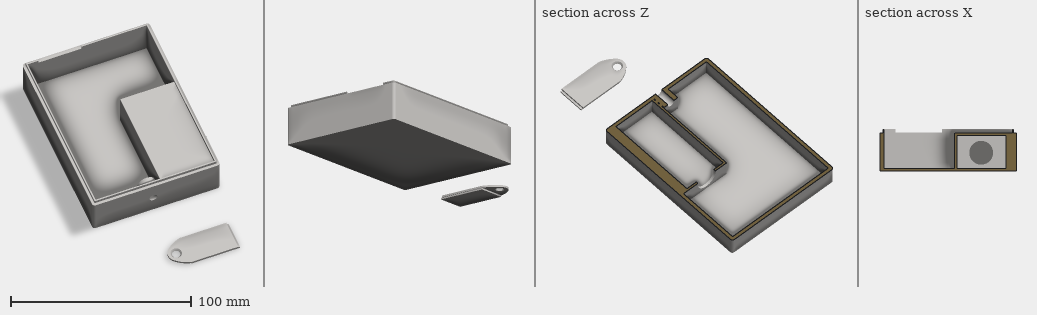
import cadquery as cq

case_length = 105.1
case_width = 76.0
wall = 2.4
floor_thickness = 1.6
total_height = 23.1
lip_height = 1.8
rim_height = total_height - lip_height
corner_radius = 1.6
lip_thickness = wall / 3
lip_inset = wall - lip_thickness
inner_length = case_length - 2 * wall
inner_width = case_width - 2 * wall
inner_right = inner_length / 2
inner_back = inner_width / 2

lip_gap_front = -29.0
lip_gap_back = -3.2

compartment_length = 60.0
compartment_width = 32.2
compartment_top = rim_height
compartment_wall = 1.6
window_diameter = 13.2
window_from_front = 15.0
window_height = 10.0
compartment_left = inner_right - compartment_length
compartment_front = inner_back - compartment_width
bay_width = 2 * (window_from_front - compartment_wall)

post_length = 8.0
post_width = 10.7
post_hole_diameter = 4.6
post_axis_height = 10.9
post_axis_y = compartment_front - post_width / 2

door_total_thickness = 2.0
door_plate_thickness = 1.1
door_tongue_thickness = door_total_thickness - door_plate_thickness
door_width = 17.8
door_tongue_width = 17.0
overall_length = 148.0
door_right = overall_length - case_length / 2
door_center_x = door_right - door_width / 2
door_plate_back = 31.5
door_tongue_overhang = 1.2
door_shoulder_y = 3.6
door_side_bulge = 0.75
door_tip_corner_y = -5.7
door_tip_y = -6.9
door_tip_half_width = 3.5
door_screw_y = -2.1
door_hole_diameter = 4.7
door_sink_diameter = 6.4


def block(x_min, x_max, y_min, y_max, z_min, z_max):
    """Box between opposite corners."""
    return cq.Workplane("XY").box(
        x_max - x_min, y_max - y_min, z_max - z_min, centered=False
    ).translate((x_min, y_min, z_min))


def tray():
    shell = cq.Workplane("XY").box(case_length, case_width, rim_height, centered=(True, True, False))
    shell = shell.edges("|Z").fillet(corner_radius)
    lip = (
        cq.Workplane("XY")
        .workplane(offset=rim_height)
        .rect(case_length - 2 * lip_inset, case_width - 2 * lip_inset)
        .extrude(lip_height)
    )
    cavity = block(-inner_right, inner_right, -inner_back, inner_back, floor_thickness, total_height)
    lip_gap = block(
        -case_length / 2, -inner_right, lip_gap_front, lip_gap_back, rim_height, total_height
    )
    return shell.union(lip).cut(cavity).cut(lip_gap)


def compartment():
    outside = block(
        compartment_left, inner_right, compartment_front, inner_back, floor_thickness, compartment_top
    )
    inside = block(
        compartment_left + compartment_wall, inner_right,
        compartment_front + compartment_wall, compartment_front + compartment_wall + bay_width,
        floor_thickness, compartment_top - compartment_wall,
    )
    window = (
        cq.Workplane("YZ", origin=(compartment_left, compartment_front + window_from_front, window_height))
        .circle(window_diameter / 2)
        .extrude(compartment_wall)
    )
    return outside.cut(inside).cut(window)


def post_disc(diameter, length):
    """Cylinder along X on the post axis, starting at the free end of the post."""
    axis_plane = cq.Workplane("YZ", origin=(inner_right - post_length, post_axis_y, post_axis_height))
    return axis_plane.circle(diameter / 2).extrude(length)


def post():
    base = block(
        inner_right - post_length, inner_right,
        post_axis_y - post_width / 2, post_axis_y + post_width / 2,
        floor_thickness, post_axis_height,
    )
    return base.union(post_disc(post_width, post_length))


def make_case():
    cable_hole = post_disc(post_hole_diameter, post_length + wall)
    return tray().union(compartment()).union(post()).cut(cable_hole)


def make_door():
    half = door_width / 2
    plate = (
        cq.Workplane("XY", origin=(door_center_x, 0, door_tongue_thickness))
        .moveTo(half, door_plate_back)
        .lineTo(-half, door_plate_back)
        .lineTo(-half, door_shoulder_y)
        .sagittaArc((-door_tip_half_width, door_tip_corner_y), -door_side_bulge)
        .threePointArc((0, door_tip_y), (door_tip_half_width, door_tip_corner_y))
        .sagittaArc((half, door_shoulder_y), -door_side_bulge)
        .close()
        .extrude(door_plate_thickness)
    )
    tongue = block(
        door_center_x - door_tongue_width / 2, door_center_x + door_tongue_width / 2,
        door_shoulder_y, door_plate_back + door_tongue_overhang,
        0, door_tongue_thickness,
    )
    door = plate.union(tongue)
    screw_hole = (
        cq.Workplane("XY", origin=(door_center_x, door_screw_y, door_tongue_thickness))
        .circle(door_hole_diameter / 2)
        .workplane(offset=door_plate_thickness)
        .circle(door_sink_diameter / 2)
        .loft()
    )
    return door.cut(screw_hole)


case = make_case()
door = make_door()
result = cq.Compound.makeCompound([case.val(), door.val()])